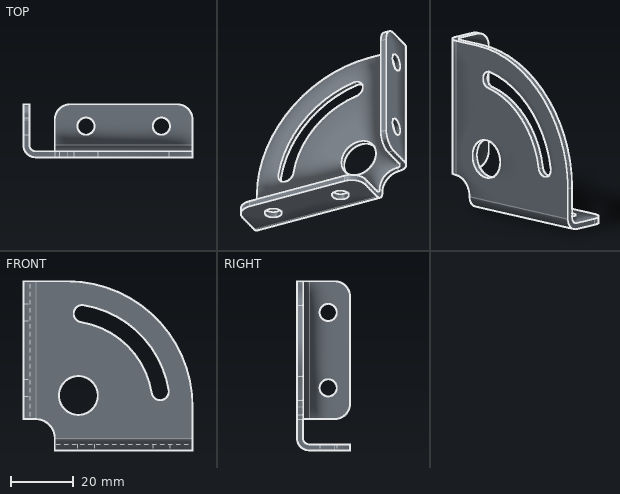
import cadquery as cq
import math

size = 54.0
depth = 17.0
thickness = 2.0
bend_inner = 2.0
bend_outer = bend_inner + thickness
flange_start = 10.0
flange_corner = 5.0
relief_radius = 6.0

outer_radius = 40.0
arc_center = size - outer_radius
slot_path_radius = 30.0
slot_half_width = 2.7
slot_end_angle = 9.2

pivot_position = 17.55
pivot_radius = 6.15
mount_radius = 2.7
mount_depth = 10.0
mount_positions = (20.0, 44.0)


def polar(radius, degrees):
    """Point in X, Z around the centre of the large rounded corner."""
    angle = math.radians(degrees)
    return (arc_center + radius * math.cos(angle), arc_center + radius * math.sin(angle))


def make_plate():
    """Flat face between the bend lines, with its large rounded corner."""
    profile = (
        cq.Workplane("XZ")
        .moveTo(bend_outer, bend_outer)
        .lineTo(size, bend_outer)
        .lineTo(size, arc_center)
        .threePointArc(polar(outer_radius, 45), (arc_center, size))
        .lineTo(bend_outer, size)
        .close()
    )
    return profile.extrude(-thickness)


def make_flange():
    """Bend and drilled flange on the X = 0 side."""
    outer_mid = bend_outer * (1 - math.sqrt(0.5))
    inner_mid = bend_outer - bend_inner * math.sqrt(0.5)
    flange = (
        cq.Workplane("XY", origin=(0, 0, flange_start))
        .moveTo(bend_outer, 0)
        .threePointArc((outer_mid, outer_mid), (0, bend_outer))
        .lineTo(0, depth)
        .lineTo(thickness, depth)
        .lineTo(thickness, bend_outer)
        .threePointArc((inner_mid, inner_mid), (bend_outer, thickness))
        .close()
        .extrude(size - flange_start)
        .faces(">Y")
        .edges("|X")
        .fillet(flange_corner)
    )
    holes = (
        cq.Workplane("YZ")
        .pushPoints([(mount_depth, position) for position in mount_positions])
        .circle(mount_radius)
        .extrude(thickness)
    )
    return flange.cut(holes)


def make_slot():
    """Curved slot with rounded ends."""
    inner = slot_path_radius - slot_half_width
    outer = slot_path_radius + slot_half_width
    first = slot_end_angle
    last = 90 - slot_end_angle
    tip_radius = math.hypot(slot_path_radius, slot_half_width)
    cap_angle = math.degrees(math.atan2(slot_half_width, slot_path_radius))
    profile = (
        cq.Workplane("XZ")
        .moveTo(*polar(outer, first))
        .threePointArc(polar(outer, 45), polar(outer, last))
        .threePointArc(polar(tip_radius, last + cap_angle), polar(inner, last))
        .threePointArc(polar(inner, 45), polar(inner, first))
        .threePointArc(polar(tip_radius, first - cap_angle), polar(outer, first))
        .close()
    )
    return profile.extrude(-thickness)


def make_disc(position, radius):
    """Round cutter through the plate, centred on the X = Z diagonal."""
    return cq.Workplane("XZ").center(position, position).circle(radius).extrude(-thickness)


plate = (
    make_plate()
    .cut(make_disc(bend_outer, relief_radius))
    .cut(make_disc(pivot_position, pivot_radius))
    .cut(make_slot())
)

side_flange = make_flange()
bottom_flange = side_flange.mirror("XY").rotate((0, 0, 0), (0, 1, 0), -90)

result = plate.union(side_flange).union(bottom_flange)